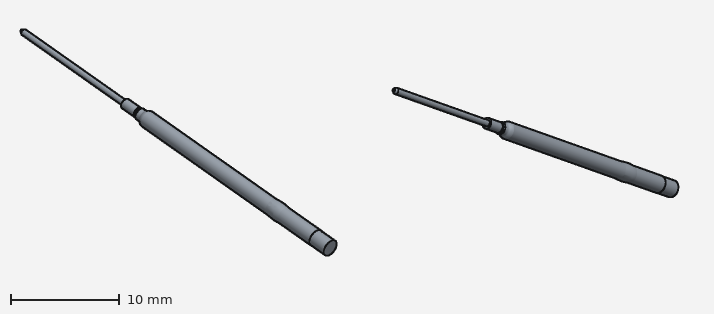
import cadquery as cq

total_length = 41.33

tip_diameter = 0.3
pin_diameter = 0.63
collar_diameter = 1.05
neck_diameter = 1.19
shoulder_diameter = 1.4
barrel_diameter = 1.68
tail_diameter = 1.64
ring_diameter = 1.81

gap_width = 0.12

tip_length = 0.3
collar_start = 13.87
collar_end = 15.55
neck_start = collar_end + gap_width
neck_chamfer_end = 15.87
neck_end = 16.2
shoulder_start = 16.5
barrel_start = 16.85
ring_start = 33.5
ring_end = 35.15
tail_start = 39.4

crimp_bow = 0.03


def build_pin():
    """Revolve the stepped half profile about the X axis."""
    tip_radius = tip_diameter / 2
    pin_radius = pin_diameter / 2
    collar_radius = collar_diameter / 2
    neck_radius = neck_diameter / 2
    shoulder_radius = shoulder_diameter / 2
    barrel_radius = barrel_diameter / 2
    tail_radius = tail_diameter / 2
    flare_middle = ((neck_end + shoulder_start) / 2, (neck_radius + shoulder_radius) / 2 - crimp_bow)
    crown_middle = ((shoulder_start + barrel_start) / 2, (shoulder_radius + barrel_radius) / 2 + crimp_bow)
    ring_middle = ((ring_start + ring_end) / 2, ring_diameter / 2)
    profile = (
        cq.Workplane("XZ")
        .moveTo(0, 0)
        .lineTo(0, tip_radius)
        .lineTo(tip_length, pin_radius)
        .lineTo(collar_start, pin_radius)
        .lineTo(collar_start, collar_radius)
        .lineTo(collar_end, collar_radius)
        .lineTo(collar_end, pin_radius)
        .lineTo(neck_start, pin_radius)
        .lineTo(neck_start, collar_radius)
        .lineTo(neck_chamfer_end, neck_radius)
        .lineTo(neck_end, neck_radius)
        .threePointArc(flare_middle, (shoulder_start, shoulder_radius))
        .threePointArc(crown_middle, (barrel_start, barrel_radius))
        .lineTo(ring_start, barrel_radius)
        .threePointArc(ring_middle, (ring_end, barrel_radius))
        .lineTo(tail_start, barrel_radius)
        .lineTo(tail_start, tail_radius)
        .lineTo(total_length, tail_radius)
        .lineTo(total_length, 0)
        .close()
    )
    return profile.revolve(360, (0, 0, 0), (1, 0, 0))


result = build_pin()